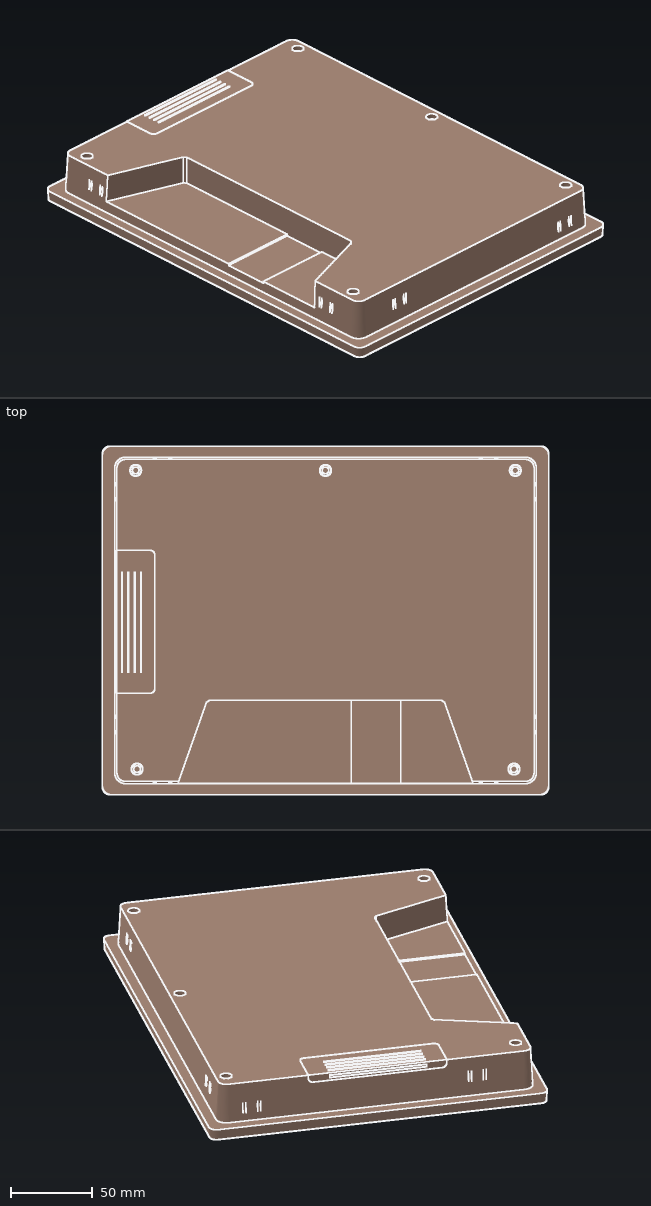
import cadquery as cq
import math

FLANGE_X = 273.7
FLANGE_Y = 213.8
TOTAL_HEIGHT = 33.5

FLANGE_THICKNESS = 7.0
FLANGE_CORNER_RADIUS = 5.0
FLANGE_INSET = 0.4

RIB_HEIGHT = 0.5
HOUSING_TOP = TOTAL_HEIGHT - RIB_HEIGHT
HOUSING_HEIGHT = HOUSING_TOP - FLANGE_THICKNESS
HOUSING_X = 258.5
HOUSING_Y = 200.0
HOUSING_CORNER_RADIUS = 6.5
DRAFT_INSET = 1.5
DRAFT_ANGLE = math.degrees(math.atan(DRAFT_INSET / HOUSING_HEIGHT))

BAY_FLOOR = 14.5
BAY_BACK_Y = -49.0
BAY_BACK_HALF_WIDTH = 72.5
BAY_MOUTH_Y = -HOUSING_Y / 2 + DRAFT_INSET
BAY_MOUTH_HALF_WIDTH = 90.0
BAY_CORNER_CHAMFER = 1.5
FLOOR_CHANNEL_CENTER_X = 31.0
FLOOR_CHANNEL_WIDTH = 30.0
FLOOR_CHANNEL_DEPTH = 1.0

SCREW_BORE_DIAMETER = 7.0
SCREW_BORE_DEPTH = 4.0
SCREW_HEAD_DIAMETER = 6.5
SCREW_HEAD_FLAT_DIAMETER = 4.0
SCREW_HEAD_HEIGHT = 1.5
SCREW_UPPER_X = 116.3
SCREW_UPPER_Y = 92.0
SCREW_LOWER_X = 115.5
SCREW_LOWER_Y = -91.2

SLOT_WIDTH = 2.0
SLOT_HEIGHT = 6.5
SLOT_DEPTH = 0.5
SLOT_PITCH = 9.3
SLOT_UPPER_Z = 20.5
SLOT_LOWER_Z = 16.5
FRONT_PAIR_X = 100.0
SIDE_PAIR_REAR_Y = 78.8
SIDE_PAIR_FRONT_Y = -63.8

COVER_CENTER_Y = -0.8
COVER_LENGTH = 87.5
COVER_INNER_X = -104.5
COVER_DROP = 5.0
COVER_CORNER_RADIUS = 3.0
COVER_PROUD = 0.15
RIB_CENTER_Y = -1.0
RIB_LENGTH = 61.3
RIB_WIDTH = 0.4
RIB_COUNT = 4
OUTER_RIB_X = -124.8
INNER_RIB_X = -113.0
RIB_PITCH = (INNER_RIB_X - OUTER_RIB_X) / (RIB_COUNT - 1)
SIDE_RIB_Z = 30.7
SIDE_RIB_WIDTH = 1.6


def rounded_outline(length, width, radius):
    """Rectangle with rounded corners, centred on the origin."""
    return cq.Sketch().rect(length, width).vertices().fillet(radius)


def drafted_block(grow=0.0):
    """Housing block, optionally enlarged by the same amount on its sides and top."""
    outline = rounded_outline(HOUSING_X + 2 * grow, HOUSING_Y + 2 * grow, HOUSING_CORNER_RADIUS + grow)
    return (
        cq.Workplane("XY")
        .workplane(offset=FLANGE_THICKNESS)
        .placeSketch(outline)
        .extrude(HOUSING_HEIGHT + grow, taper=DRAFT_ANGLE)
    )


def flange():
    """Plate that narrows slightly towards its lower face."""
    outline = rounded_outline(FLANGE_X, FLANGE_Y, FLANGE_CORNER_RADIUS)
    draft = math.degrees(math.atan(FLANGE_INSET / FLANGE_THICKNESS))
    return (
        cq.Workplane("XY")
        .workplane(offset=FLANGE_THICKNESS)
        .placeSketch(outline)
        .extrude(-FLANGE_THICKNESS, taper=draft)
    )


def connector_bay():
    """Trapezoidal pocket, open at -Y, with a wide shallow channel across its floor."""
    flare = (BAY_MOUTH_HALF_WIDTH - BAY_BACK_HALF_WIDTH) / (BAY_BACK_Y - BAY_MOUTH_Y)
    outer_y = -FLANGE_Y / 2
    outer_half_width = BAY_BACK_HALF_WIDTH + flare * (BAY_BACK_Y - outer_y)
    pocket = (
        cq.Workplane("XY")
        .workplane(offset=BAY_FLOOR)
        .polyline(
            [
                (-outer_half_width, outer_y),
                (outer_half_width, outer_y),
                (BAY_BACK_HALF_WIDTH, BAY_BACK_Y),
                (-BAY_BACK_HALF_WIDTH, BAY_BACK_Y),
            ]
        )
        .close()
        .extrude(TOTAL_HEIGHT - BAY_FLOOR)
        .edges("|Z and >Y")
        .chamfer(BAY_CORNER_CHAMFER)
    )
    channel = (
        cq.Workplane("XY")
        .box(FLOOR_CHANNEL_WIDTH, BAY_BACK_Y - outer_y, 2 * FLOOR_CHANNEL_DEPTH)
        .translate((FLOOR_CHANNEL_CENTER_X, (BAY_BACK_Y + outer_y) / 2, BAY_FLOOR))
    )
    return pocket.union(channel)


def screw_recesses():
    """Round bores that leave a truncated cone, the screw head, standing on each floor."""
    points = [(0, SCREW_UPPER_Y)]
    for side in (-1, 1):
        points.append((side * SCREW_UPPER_X, SCREW_UPPER_Y))
        points.append((side * SCREW_LOWER_X, SCREW_LOWER_Y))
    bevel = (SCREW_HEAD_DIAMETER - SCREW_HEAD_FLAT_DIAMETER) / 2
    bevel_angle = math.degrees(math.atan(bevel / SCREW_HEAD_HEIGHT))
    floor = cq.Workplane("XY").workplane(offset=HOUSING_TOP - SCREW_BORE_DEPTH).pushPoints(points)
    bores = floor.circle(SCREW_BORE_DIAMETER / 2).extrude(SCREW_BORE_DEPTH)
    heads = floor.circle(SCREW_HEAD_DIAMETER / 2).extrude(SCREW_HEAD_HEIGHT, taper=bevel_angle)
    return bores.cut(heads)


def wall_inset(z):
    """Distance the drafted wall has moved inwards at height z."""
    return DRAFT_INSET * (z - FLANGE_THICKNESS) / HOUSING_HEIGHT


def slot_cutter():
    """Disc with its axis along X, sunk SLOT_DEPTH into a wall on the XZ plane over SLOT_HEIGHT."""
    radius = (SLOT_HEIGHT**2 / 4 + SLOT_DEPTH**2) / (2 * SLOT_DEPTH)
    return (
        cq.Workplane("YZ")
        .center(SLOT_DEPTH - radius, 0)
        .circle(radius)
        .extrude(SLOT_WIDTH / 2, both=True)
    )


def slot_pairs():
    """Pairs of arc-bottomed upright slots in all four walls, mirrored left to right."""
    front_slot = slot_cutter()
    back_slot = front_slot.rotate((0, 0, 0), (0, 0, 1), 180)
    left_slot = front_slot.rotate((0, 0, 0), (0, 0, 1), -90)
    right_slot = front_slot.rotate((0, 0, 0), (0, 0, 1), 90)
    upper_wall_y = HOUSING_Y / 2 - wall_inset(SLOT_UPPER_Z)
    cutters = cq.Workplane("XY")
    for step in (-SLOT_PITCH / 2, SLOT_PITCH / 2):
        for pair_x in (-FRONT_PAIR_X, FRONT_PAIR_X):
            cutters.add(front_slot.translate((pair_x + step, -upper_wall_y, SLOT_UPPER_Z)))
            cutters.add(back_slot.translate((pair_x + step, upper_wall_y, SLOT_UPPER_Z)))
        for pair_y, z in ((SIDE_PAIR_REAR_Y, SLOT_LOWER_Z), (SIDE_PAIR_FRONT_Y, SLOT_UPPER_Z)):
            wall_x = HOUSING_X / 2 - wall_inset(z)
            cutters.add(left_slot.translate((-wall_x, pair_y + step, z)))
            cutters.add(right_slot.translate((wall_x, pair_y + step, z)))
    return cutters.vals()


def edge_cover():
    """Thin raised skin wrapping from the rear face onto the -X wall."""
    reach = HOUSING_X / 2 + COVER_INNER_X + 2 * COVER_CORNER_RADIUS
    cover_block = (
        cq.Workplane("XY")
        .box(reach, COVER_LENGTH, 2 * COVER_DROP)
        .edges("|Z and >X")
        .fillet(COVER_CORNER_RADIUS)
        .edges("|X and <Z")
        .fillet(COVER_CORNER_RADIUS)
        .translate((COVER_INNER_X - reach / 2, COVER_CENTER_Y, HOUSING_TOP))
    )
    return drafted_block(COVER_PROUD).intersect(cover_block)


def grip_ribs():
    """Fine parallel ribs on the cover plus one on its side."""
    ribs = cq.Workplane("XY")
    for index in range(RIB_COUNT):
        ribs = ribs.union(
            cq.Workplane("XY")
            .box(RIB_WIDTH, RIB_LENGTH, 2 * RIB_HEIGHT)
            .translate((INNER_RIB_X - index * RIB_PITCH, RIB_CENTER_Y, HOUSING_TOP))
        )
    wall_x = -HOUSING_X / 2 + wall_inset(SIDE_RIB_Z)
    side_rib = (
        cq.Workplane("XY")
        .box(2 * RIB_HEIGHT, RIB_LENGTH, SIDE_RIB_WIDTH)
        .translate((wall_x, RIB_CENTER_Y, SIDE_RIB_Z))
    )
    return ribs.union(side_rib)


housing = drafted_block().union(edge_cover()).union(grip_ribs())
housing = housing.cut(connector_bay()).cut(screw_recesses())
for slot in slot_pairs():
    housing = housing.cut(slot)
result = flange().union(housing)